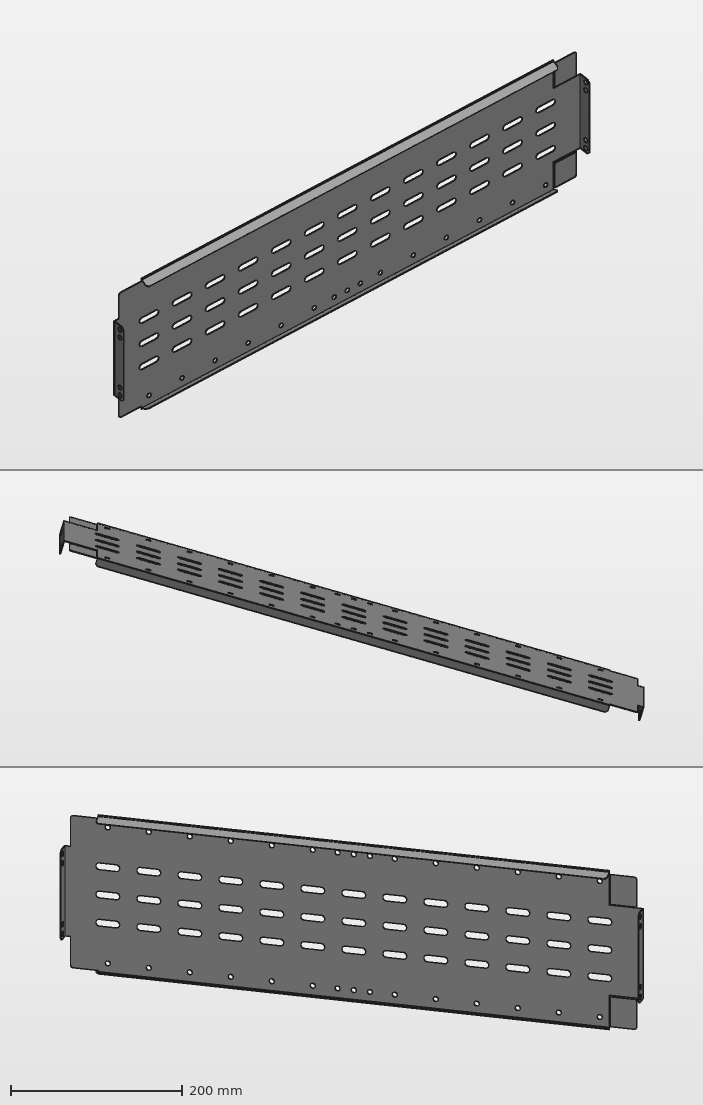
import cadquery as cq
import math

LENGTH = 705.5
HEIGHT = 199.0
DEPTH = 17.5
SHEET = 1.2

FRONT = -DEPTH / 2
BACK = FRONT + SHEET

BODY_LENGTH = 623.0
TAB_LENGTH = 691.0
TAB_HEIGHT = 190.5
TAB_RADIUS = 3.5
JOGGLE_STEP = SHEET
JOGGLE_RUN = 1.5

FLANGE_HEIGHT = 113.0
FLANGE_CHAMFER = 3.5
FLANGE_HOLE_X = 2.0
FLANGE_HOLE_DIAMETER = 6.0
FLANGE_HOLE_SPANS = (76.0, 100.0)

LIP_TIP_X = 3.0
LIP_LEAN = 28.0
LIP_CHAMFER = 3.0

HOLE_DIAMETER = 6.0
HOLE_ROW_SPACING = 170.0
COLUMN_SPAN = 600.0
COLUMNS_PER_SIDE = 6
COLUMN_PITCH = COLUMN_SPAN / (2 * COLUMNS_PER_SIDE)
EXTRA_HOLE_Y = 20.0
SLOT_LENGTH = 29.0
SLOT_WIDTH = 8.5
SLOT_ROW_SPAN = 70.5


def block(x_min, x_max, length, height):
    """Box centred on Y and Z that spans the given X range."""
    return cq.Workplane("XY").box(x_max - x_min, length, height).translate(((x_min + x_max) / 2, 0, 0))


def panel_outline(x_min, x_max):
    """Prism of the flat outline: tall body, rounded corner tabs and the roots of the end flanges."""
    tabs = block(x_min, x_max, TAB_LENGTH, TAB_HEIGHT).edges("|X").fillet(TAB_RADIUS)
    body = block(x_min, x_max, BODY_LENGTH, HEIGHT)
    return tabs.union(body).union(block(x_min, x_max, LENGTH, FLANGE_HEIGHT))


def joggle_frustum(side, x_start):
    """Tapered block over one +Y corner; its narrow end lies a joggle step behind x_start."""
    def corner_section(x, inset):
        y_min = BODY_LENGTH / 2 + inset
        z_min = FLANGE_HEIGHT / 2 + inset
        return (
            cq.Workplane("YZ", origin=(x, 0, 0))
            .moveTo(y_min, side * z_min)
            .lineTo(LENGTH, side * z_min)
            .lineTo(LENGTH, side * LENGTH)
            .lineTo(y_min, side * LENGTH)
            .close()
            .wires()
            .val()
        )

    wires = [corner_section(x_start, 0), corner_section(x_start + JOGGLE_STEP, JOGGLE_RUN)]
    return cq.Workplane(cq.Solid.makeLoft(wires, True))


def joggled_panel():
    """Flat panel whose two +Y corner tabs are pressed back by the joggle step."""
    panel = panel_outline(FRONT, BACK)
    envelope = panel_outline(FRONT, BACK + JOGGLE_STEP)
    for side in (1, -1):
        pressed_out = joggle_frustum(side, BACK).intersect(envelope)
        panel = panel.union(pressed_out).cut(joggle_frustum(side, FRONT))
    return panel


def end_flange(end):
    """Flange across one Y end, with chamfered free corners and four holes."""
    hole_points = [(FLANGE_HOLE_X, side * span / 2) for span in FLANGE_HOLE_SPANS for side in (1, -1)]
    flange = block(FRONT, DEPTH / 2, SHEET, FLANGE_HEIGHT).edges(">X and |Y").chamfer(FLANGE_CHAMFER)
    holes = (
        cq.Workplane("XZ", origin=(0, SHEET, 0))
        .pushPoints(hole_points)
        .circle(FLANGE_HOLE_DIAMETER / 2)
        .extrude(2 * SHEET)
    )
    return flange.cut(holes).translate((0, end * (LENGTH - SHEET) / 2, 0))


def long_lip(side):
    """Leaning lip along one long edge, with its two free corners chamfered."""
    lean = math.radians(LIP_LEAN)
    run = LIP_TIP_X - FRONT
    edge_z = HEIGHT / 2
    tip_z = edge_z - run * math.tan(lean)
    drop = SHEET / math.cos(lean)
    lip = (
        cq.Workplane("XZ", origin=(0, BODY_LENGTH / 2, 0))
        .moveTo(FRONT, side * edge_z)
        .lineTo(LIP_TIP_X, side * tip_z)
        .lineTo(LIP_TIP_X - SHEET * math.sin(lean), side * (tip_z - SHEET * math.cos(lean)))
        .lineTo(FRONT, side * (edge_z - drop))
        .close()
        .extrude(BODY_LENGTH)
    )
    trim = block(FRONT, LIP_TIP_X, BODY_LENGTH, HEIGHT).edges(">X and |Z").chamfer(LIP_CHAMFER)
    return lip.intersect(trim)


def perforation():
    """Cutters for the three slot rows and the two hole rows."""
    columns = [i * COLUMN_PITCH for i in range(-COLUMNS_PER_SIDE, COLUMNS_PER_SIDE + 1)]
    slot_points = [(y, row * SLOT_ROW_SPAN / 2) for y in columns for row in (-1, 0, 1)]
    hole_columns = columns + [-EXTRA_HOLE_Y, EXTRA_HOLE_Y]
    hole_points = [(y, side * HOLE_ROW_SPACING / 2) for y in hole_columns for side in (1, -1)]
    plane = cq.Workplane("YZ", origin=(FRONT - SHEET, 0, 0))
    slots = plane.pushPoints(slot_points).slot2D(SLOT_LENGTH, SLOT_WIDTH).extrude(3 * SHEET)
    holes = plane.pushPoints(hole_points).circle(HOLE_DIAMETER / 2).extrude(3 * SHEET)
    return slots.add(holes)


result = joggled_panel()
for direction in (1, -1):
    result = result.union(end_flange(direction)).union(long_lip(direction))
for cutter in perforation().vals():
    result = result.cut(cq.Workplane(cutter))